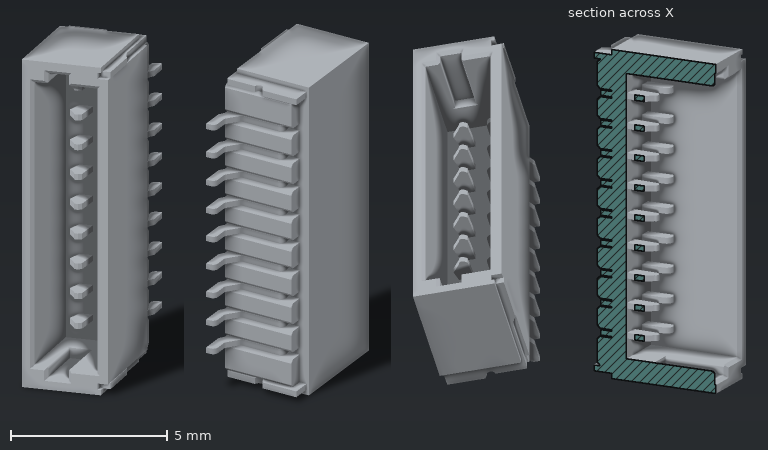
import cadquery as cq


length = 11.0
pin_count = 9
pitch = length / (pin_count + 2)
pin_positions = [(i - (pin_count - 1) / 2) * pitch for i in range(pin_count)]
upper_height = 2.67
base_height = 2.92
housing_depth = 3.74
base_depth = 3.85

tab_thickness = 0.21
tab_end_margin = 0.18
tab_outer_z = length / 2 - tab_end_margin
tab_inner_z = tab_outer_z - tab_thickness
tab_seat_x = 2.56
tab_front = 0.2
tab_start_x = 0.1
tab_foot_x = 2.94
tab_waist_x = 2.77
tab_foot_end = 1.82
tab_waist_start = 2.36
tab_back = 4.37
tab_low_back = 4.22
tab_shoulder_x = 1.35
tab_front_radius = 0.18
tab_back_radius = 0.05
groove_x = 1.57
groove_y = 4.24
groove_radius = 0.14

cavity_left = 0.38
cavity_right = 2.52
cavity_half_length = 4.75
cavity_depth = 3.19
entry_chamfer = 0.11
key_left = 0.87
key_right = 1.56
key_half_length = 5.1
key_depth = 2.2
key_corner_radius = 0.09

rib_left = 0.35
rib_right = 2.83
rib_back = 4.26
rib_chamfer = 0.11
slot_width = 0.25

pin_width = 0.2
bar_left = 0.72
bar_back = 4.15
bar_radius = 0.15
bar_flare_y = 3.88
bar_flare = 0.03
foot_left = 2.62
foot_right = 2.95
foot_end = 5.21
foot_radius = 0.18
heel_x = 2.25
heel_radius = 0.11
ankle_y = 4.62
ankle_radius = 0.16
sole_y = 4.44
tip_y = 2.2
post_left = 1.87
post_right = 2.3
post_radius = 0.21
post_bevel_x = 2.16
post_bevel = 0.08
beam_left = 0.88
beam_right = 1.25
beam_root_right = 1.31
beam_bump_x = 0.72
beam_bump_y = 2.64
beam_cheek_x = 0.98
beam_nose_left = 1.07
beam_nose_right = 1.13
beam_bevel = 0.09

fuse_overlap = 0.11


def block(x_range, y_range, z_range):
    """Axis-aligned box given by its limits along each axis."""
    sizes = [high - low for low, high in (x_range, y_range, z_range)]
    corner = (x_range[0], y_range[0], z_range[0])
    return cq.Workplane("XY").box(*sizes, centered=False).translate(corner)


def symmetric_block(x_range, y_range, half_length):
    """Box centred on Z = 0."""
    return block(x_range, y_range, (-half_length, half_length))


def round_edge(body, point, radius):
    """Fillet the edge whose centre lies nearest to a point."""
    return body.edges(cq.NearestToPointSelector(point)).fillet(radius)


def entry_funnel(x_range, half_length):
    """45 degree lead-in that widens a pocket towards the mating face."""
    mouth_width = x_range[1] - x_range[0] + 2 * entry_chamfer
    mouth_length = 2 * (half_length + entry_chamfer)
    face = cq.Workplane("XZ", origin=(sum(x_range) / 2, 0, 0))
    return face.rect(mouth_width, mouth_length).extrude(-entry_chamfer, taper=45)


def make_cavity():
    """Contact cavity with a shallower keyway at both ends."""
    cavity_x = (cavity_left, cavity_right)
    key_x = (key_left, key_right)
    cavity = symmetric_block(cavity_x, (0, cavity_depth), cavity_half_length)
    cavity = cavity.union(symmetric_block(key_x, (0, key_depth), key_half_length))
    for x in key_x:
        for z in (-cavity_half_length, cavity_half_length):
            cavity = round_edge(cavity, (x, key_depth / 2, z), key_corner_radius)
    cavity = cavity.union(entry_funnel(cavity_x, cavity_half_length))
    return cavity.union(entry_funnel(key_x, key_half_length))


def make_housing():
    upper = symmetric_block((0, upper_height), (0, housing_depth), length / 2)
    base = symmetric_block((0, base_height), (0, housing_depth), tab_inner_z)
    ledge = symmetric_block((tab_seat_x, base_height), (0, base_depth), tab_inner_z)
    return upper.union(base).union(ledge).cut(make_cavity())


def make_rib():
    """Rear rib segments, with chamfered back edges beside every slot."""
    starts = [-tab_inner_z] + [z + slot_width / 2 for z in pin_positions]
    ends = [z - slot_width / 2 for z in pin_positions] + [tab_inner_z]
    rib_y = (housing_depth - fuse_overlap, rib_back)
    rib = cq.Workplane("XY")
    for start, end in zip(starts, ends):
        segment = block((rib_left, rib_right), rib_y, (start, end))
        rib = rib.add(segment.faces(">Y").edges("|X").chamfer(rib_chamfer))
    return rib.combine()


def make_tab():
    """Flat solder tab at the +Z end, lying in its seat in the housing."""
    return (
        cq.Workplane("XY", origin=(0, 0, tab_inner_z))
        .moveTo(tab_start_x, housing_depth - fuse_overlap)
        .lineTo(tab_start_x, tab_back)
        .lineTo(tab_shoulder_x, tab_back)
        .lineTo(groove_x - groove_radius, groove_y)
        .threePointArc((groove_x, groove_y - groove_radius), (groove_x + groove_radius, tab_low_back))
        .lineTo(tab_waist_x - tab_back_radius, tab_low_back)
        .radiusArc((tab_waist_x, tab_low_back - tab_back_radius), tab_back_radius)
        .lineTo(tab_waist_x, tab_waist_start)
        .tangentArcPoint((tab_foot_x, tab_foot_end), relative=False)
        .lineTo(tab_foot_x, tab_front)
        .lineTo(tab_seat_x + tab_front_radius, tab_front)
        .radiusArc((tab_seat_x, tab_front + tab_front_radius), tab_front_radius)
        .lineTo(tab_seat_x, housing_depth - fuse_overlap)
        .close()
        .extrude(tab_thickness)
    )


def tab_seat():
    """Slot in the +Z shoulder that takes the tab."""
    return block((tab_seat_x, base_height), (0, housing_depth), (tab_inner_z, tab_outer_z))


def pin_plate(outline):
    """Sheet-metal piece of contact thickness, centred on Z = 0."""
    return outline.close().extrude(pin_width / 2, both=True)


def make_contact():
    """One contact: rear bar with foot, plus a bent beam and a straight post in the cavity."""
    root = cavity_depth + fuse_overlap
    tail = pin_plate(
        cq.Workplane("XY")
        .moveTo(bar_left + bar_flare, housing_depth - fuse_overlap)
        .lineTo(bar_left + bar_flare, housing_depth)
        .lineTo(bar_left, bar_flare_y)
        .lineTo(bar_left, bar_back - bar_radius)
        .radiusArc((bar_left + bar_radius, bar_back), bar_radius)
        .lineTo(heel_x, bar_back)
        .lineTo(foot_left, ankle_y)
        .lineTo(foot_left, foot_end - foot_radius)
        .radiusArc((foot_left + foot_radius, foot_end), foot_radius)
        .lineTo(foot_right, foot_end)
        .lineTo(foot_right, sole_y)
        .lineTo(rib_right, rib_back)
        .lineTo(rib_right, housing_depth - fuse_overlap)
    )
    tail = round_edge(tail, (heel_x, bar_back, 0), heel_radius)
    tail = round_edge(tail, (foot_left, ankle_y, 0), ankle_radius)
    post = pin_plate(
        cq.Workplane("XY")
        .moveTo(post_left, root)
        .lineTo(post_left, tip_y + post_radius)
        .radiusArc((post_left + post_radius, tip_y), -post_radius)
        .lineTo(post_bevel_x, tip_y)
        .lineTo(post_right, tip_y + post_bevel)
        .lineTo(post_right, root)
    )
    nose_radius = beam_nose_left - beam_cheek_x
    beam = pin_plate(
        cq.Workplane("XY")
        .moveTo(beam_left, root)
        .lineTo(beam_bump_x, beam_bump_y)
        .lineTo(beam_cheek_x, tip_y + nose_radius)
        .radiusArc((beam_nose_left, tip_y), -nose_radius)
        .lineTo(beam_nose_right, tip_y)
        .lineTo(beam_right, tip_y + beam_bevel)
        .lineTo(beam_root_right, root)
    )
    return tail.union(post).union(beam)


tab = make_tab()
seat = tab_seat()
result = make_housing().union(make_rib())
result = result.cut(seat).cut(seat.mirror("XY"))
result = result.union(tab).union(tab.mirror("XY"))
contact = make_contact()
for pin_z in pin_positions:
    result = result.union(contact.translate((0, 0, pin_z)))